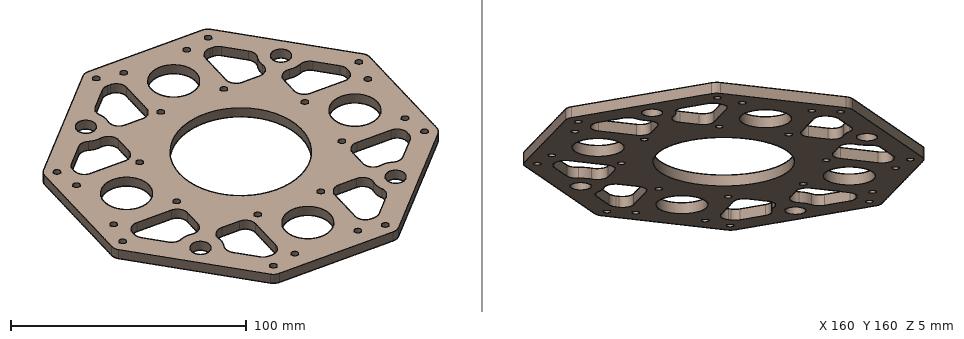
import cadquery as cq
import math

plate_width = 160.0
plate_thickness = 5.0
flat_length = 60.2
corner_radius = 5.0

center_bore_diameter = 60.0
motor_bore_diameter = 22.0
motor_distance = 56.2
post_hole_diameter = 9.0
post_offset = 48.0

screw_diameter = 3.2
motor_screw_pitch = 31.0
edge_screw_spacing = 55.0
edge_screw_distance = 74.2

spoke_half_width = 19.5
pocket_inner_y = 40.6
pocket_outer_y = 67.5
rim_width = 10.4
post_wall = 5.6
pocket_radius = 5.0

half_width = plate_width / 2
half_flat = flat_length / 2
quarter_turns = [0, 90, 180, 270]


def make_plate():
    """Octagonal plate with rounded corners, resting on Z = 0."""
    return (
        cq.Workplane("XY")
        .rect(plate_width, plate_width)
        .extrude(plate_thickness)
        .edges("|Z")
        .chamfer(half_width - half_flat)
        .edges("|Z")
        .fillet(corner_radius)
    )


def make_pins(diameter, points):
    """Cylinders through the plate thickness, used for cutting holes."""
    return cq.Workplane("XY").pushPoints(points).circle(diameter / 2).extrude(plate_thickness)


def make_pocket():
    """Pocket right of the +Y motor bore, with a concave side around the post hole."""
    diagonal_sum = half_width + half_flat - rim_width * math.sqrt(2)
    diagonal_end = diagonal_sum / 2
    outline = [
        (spoke_half_width, pocket_inner_y),
        (spoke_half_width, pocket_outer_y),
        (diagonal_sum - pocket_outer_y, pocket_outer_y),
        (diagonal_end, diagonal_end),
        (diagonal_end, pocket_inner_y),
    ]
    post = make_pins(post_hole_diameter + 2 * post_wall, [(post_offset, post_offset)])
    blank = cq.Workplane("XY").polyline(outline).close().extrude(plate_thickness)
    return blank.cut(post).edges("|Z").fillet(pocket_radius)


def make_side_cutters():
    """Everything cut out along the +Y side, including one post hole."""
    half_pitch = motor_screw_pitch / 2
    screw_points = []
    for side in (-1, 1):
        screw_points.append((side * edge_screw_spacing / 2, edge_screw_distance))
        screw_points.append((side * half_pitch, motor_distance - half_pitch))
        screw_points.append((side * half_pitch, motor_distance + half_pitch))
    pocket = make_pocket()
    return [
        make_pins(screw_diameter, screw_points),
        make_pins(motor_bore_diameter, [(0, motor_distance)]),
        make_pins(post_hole_diameter, [(post_offset, post_offset)]),
        pocket,
        pocket.mirror("YZ"),
    ]


result = make_plate().cut(make_pins(center_bore_diameter, [(0, 0)]))
for cutter in make_side_cutters():
    for angle in quarter_turns:
        result = result.cut(cutter.rotate((0, 0, 0), (0, 0, 1), angle))